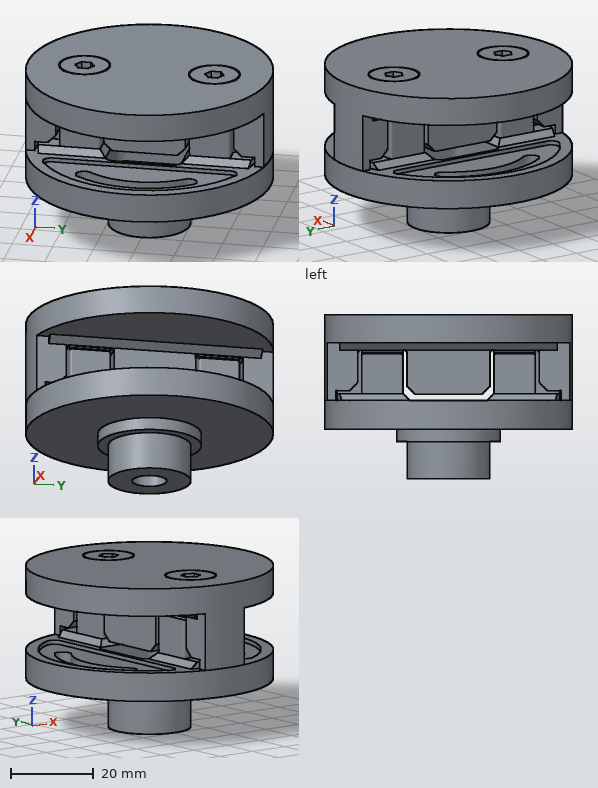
import cadquery as cq
import math

PLATE_RADIUS = 30.0
BASE_THICKNESS = 7.0
CAP_THICKNESS = 6.8
PLATE_GAP = 14.0
WEB_HALF_WIDTH = 6.05
SIDES = (-1, 1)

FLANGE_RADIUS = 12.55
FLANGE_THICKNESS = 3.0
STEM_RADIUS = 10.0
STEM_LENGTH = 9.0
BORE_RADIUS = 4.2

RECESS_RADIUS = 27.0
RECESS_CHORD_X = 10.0
RECESS_CORNER_RADIUS = 2.0
RECESS_DEPTH = 1.0
SLOT_MID_RADIUS = 21.0
SLOT_WIDTH = 4.0
SLOT_HALF_ANGLE = 38.0
SLOT_DEPTH = 3.85
WINDOW_WIDTH = 18.0
WINDOW_CORNER_RADIUS = 2.1

POST_Y = 16.0
POST_LENGTH = 10.1
POST_CORNER_RADIUS = 0.55
SHOULDER_Z = 11.2
SHOULDER_SIZE = 0.5
PLINTH_HEIGHT = 1.6
PLINTH_END_RADIUS = 27.0
WING_RADIUS = 1.6
WING_ROOT_FILLET = 0.35

CEILING_DEPTH = 1.8
CEILING_HALF_LENGTH = 26.35
RIB_INNER_Y = 21.95
NOTCH_OUTER_Y = 27.2
NOTCH_HEIGHT = 2.35
TONGUE_HALF_LENGTH = 10.1
TONGUE_CLEARANCE = 1.45
CORNER_CHAMFER = 2.0
GUSSET_SIZE = 0.55

HEAD_DIAMETER = 12.0
HEAD_CLEARANCE = 0.25
SHANK_DIAMETER = 6.0
SHANK_END_Z = 4.0
HEX_ACROSS_FLATS = 4.0
HEX_DEPTH = 4.0

STUD_BOTTOM_Z = -BASE_THICKNESS - FLANGE_THICKNESS - STEM_LENGTH
POST_INNER_Y = POST_Y - POST_LENGTH / 2
POST_OUTER_Y = POST_Y + POST_LENGTH / 2
PLINTH_INNER_Y = POST_INNER_Y - PLINTH_HEIGHT
CEILING_Z = PLATE_GAP - CEILING_DEPTH
CAP_TOP_Z = PLATE_GAP + CAP_THICKNESS


def cylinder(radius, bottom_z, height):
    """Upright cylinder on the Z axis."""
    return cq.Workplane("XY", origin=(0, 0, bottom_z)).circle(radius).extrude(height)


def side_profile(points, half_width):
    """Extrude a closed (Y, Z) outline symmetrically along X."""
    return cq.Workplane("YZ").polyline(points).close().extrude(half_width, both=True)


def end_profile(points, half_length):
    """Extrude a closed (X, Z) outline symmetrically along Y."""
    return cq.Workplane("XZ").polyline(points).close().extrude(half_length, both=True)


def on_side(shape, side):
    """Return the +Y shape itself, or its copy turned half a turn about Z."""
    return shape if side > 0 else shape.rotate((0, 0, 0), (0, 0, 1), 180)


def wing_bar(radius, end_y, bottom_z, top_z):
    """Upright bar along Y from the post centre to a round end at end_y."""
    bar_length = end_y - radius - POST_Y
    bar = (
        cq.Workplane("XY", origin=(0, POST_Y + bar_length / 2, bottom_z))
        .rect(2 * radius, bar_length)
        .extrude(top_z - bottom_z)
    )
    round_end = cylinder(radius, bottom_z, top_z - bottom_z).translate((0, end_y - radius, 0))
    return bar.union(round_end)


def make_stud():
    """Flanged stud with a through bore."""
    flange = cylinder(FLANGE_RADIUS, -BASE_THICKNESS - FLANGE_THICKNESS, FLANGE_THICKNESS)
    stem = cylinder(STEM_RADIUS, STUD_BOTTOM_Z, STEM_LENGTH)
    bore = cylinder(BORE_RADIUS, STUD_BOTTOM_Z, STEM_LENGTH + FLANGE_THICKNESS)
    return flange.union(stem).cut(bore)


def recess_cutter():
    """D-shaped recess on the -X side."""
    disc = cylinder(RECESS_RADIUS, -RECESS_DEPTH, RECESS_DEPTH)
    outside_chord = (
        cq.Workplane("XY")
        .box(PLATE_RADIUS, 2 * PLATE_RADIUS, 2 * RECESS_DEPTH)
        .translate((-RECESS_CHORD_X - PLATE_RADIUS / 2, 0, 0))
    )
    return disc.intersect(outside_chord).edges("|Z and >X").fillet(RECESS_CORNER_RADIUS)


def curved_slot_cutter():
    """Arc slot with round ends in the floor of the -X recess."""
    def polar(radius, degrees):
        """Point at an angle measured from the -X axis."""
        angle = math.radians(180 + degrees)
        return (radius * math.cos(angle), radius * math.sin(angle))

    inner_radius = SLOT_MID_RADIUS - SLOT_WIDTH / 2
    outer_radius = SLOT_MID_RADIUS + SLOT_WIDTH / 2
    band = (
        cq.Workplane("XY", origin=(0, 0, -RECESS_DEPTH - SLOT_DEPTH))
        .moveTo(*polar(inner_radius, -SLOT_HALF_ANGLE))
        .threePointArc(polar(inner_radius, 0), polar(inner_radius, SLOT_HALF_ANGLE))
        .lineTo(*polar(outer_radius, SLOT_HALF_ANGLE))
        .threePointArc(polar(outer_radius, 0), polar(outer_radius, -SLOT_HALF_ANGLE))
        .close()
        .extrude(SLOT_DEPTH)
    )
    round_ends = (
        cq.Workplane("XY", origin=(0, 0, -RECESS_DEPTH - SLOT_DEPTH))
        .pushPoints([polar(SLOT_MID_RADIUS, side * SLOT_HALF_ANGLE) for side in SIDES])
        .circle(SLOT_WIDTH / 2)
        .extrude(SLOT_DEPTH)
    )
    return band.union(round_ends)


def make_plinth():
    """Sloped foot of the +Y post, rounded to the recess radius at its outer end."""
    foot_half_width = WEB_HALF_WIDTH + PLINTH_HEIGHT
    ramp = end_profile(
        [
            (-foot_half_width, 0),
            (foot_half_width, 0),
            (WEB_HALF_WIDTH, PLINTH_HEIGHT),
            (-WEB_HALF_WIDTH, PLINTH_HEIGHT),
        ],
        PLATE_RADIUS,
    )
    length_limit = side_profile(
        [
            (PLINTH_INNER_Y, 0),
            (PLATE_RADIUS, 0),
            (PLATE_RADIUS, PLINTH_HEIGHT),
            (POST_INNER_Y, PLINTH_HEIGHT),
        ],
        foot_half_width,
    )
    return ramp.intersect(length_limit).intersect(cylinder(PLINTH_END_RADIUS, 0, PLINTH_HEIGHT))


def make_post():
    """+Y post up to the cap's ceiling, with its wing, plinth and blind screw hole.

    The post narrows along X to a neck above its sloped shoulders.
    """
    neck_half_width = WEB_HALF_WIDTH - SHOULDER_SIZE
    block = end_profile(
        [
            (-WEB_HALF_WIDTH, 0),
            (WEB_HALF_WIDTH, 0),
            (WEB_HALF_WIDTH, SHOULDER_Z),
            (neck_half_width, SHOULDER_Z + SHOULDER_SIZE),
            (neck_half_width, CEILING_Z),
            (-neck_half_width, CEILING_Z),
            (-neck_half_width, SHOULDER_Z + SHOULDER_SIZE),
            (-WEB_HALF_WIDTH, SHOULDER_Z),
        ],
        POST_LENGTH / 2,
    )
    corner_edges = block.edges("not #Z").edges("not |Y").edges("not |X")
    block = corner_edges.fillet(POST_CORNER_RADIUS).translate((0, POST_Y, 0))
    wing = wing_bar(WING_RADIUS, PLINTH_END_RADIUS, 0, CEILING_Z)
    root_corners = cq.selectors.BoxSelector(
        (-2 * WING_RADIUS, POST_OUTER_Y - WING_ROOT_FILLET, 0),
        (2 * WING_RADIUS, POST_OUTER_Y + WING_ROOT_FILLET, CEILING_Z),
    )
    post = block.union(wing).edges("|Z").edges(root_corners).fillet(WING_ROOT_FILLET)
    screw_hole = cylinder(SHANK_DIAMETER / 2, SHANK_END_Z, PLATE_GAP).translate((0, POST_Y, 0))
    return post.union(make_plinth()).cut(screw_hole)


def make_base():
    """Round base plate with its window, recesses and two posts."""
    base = cylinder(PLATE_RADIUS, -BASE_THICKNESS, BASE_THICKNESS)
    window = (
        cq.Workplane("XY", origin=(0, 0, -BASE_THICKNESS))
        .rect(WINDOW_WIDTH, 2 * PLINTH_INNER_Y)
        .extrude(BASE_THICKNESS)
        .edges("|Z")
        .fillet(WINDOW_CORNER_RADIUS)
    )
    base = base.cut(window)
    pocket = recess_cutter().union(curved_slot_cutter())
    post = make_post()
    for side in SIDES:
        base = base.cut(on_side(pocket, side)).union(on_side(post, side))
    return base


def ceiling_prism(depth, half_length):
    """Prism under the cap plate whose long sides slope inwards at 45 degrees."""
    root_half_width = WEB_HALF_WIDTH + CEILING_DEPTH
    tip_half_width = root_half_width - depth
    return end_profile(
        [
            (-root_half_width, PLATE_GAP),
            (root_half_width, PLATE_GAP),
            (tip_half_width, PLATE_GAP - depth),
            (-tip_half_width, PLATE_GAP - depth),
        ],
        half_length,
    )


def make_rib():
    """Outer rib, notched over the plinth and hollowed for the wing of the post."""
    outline = [
        (RIB_INNER_Y, PLATE_GAP),
        (PLATE_RADIUS, PLATE_GAP),
        (PLATE_RADIUS, 0),
        (NOTCH_OUTER_Y, 0),
        (NOTCH_OUTER_Y, NOTCH_HEIGHT),
        (RIB_INNER_Y + CORNER_CHAMFER, NOTCH_HEIGHT),
        (RIB_INNER_Y, NOTCH_HEIGHT + CORNER_CHAMFER),
    ]
    rib = side_profile(outline, WEB_HALF_WIDTH).intersect(cylinder(PLATE_RADIUS, 0, PLATE_GAP))
    rib = rib.union(make_gusset(RIB_INNER_Y, -1))
    wing_clearance = NOTCH_OUTER_Y - PLINTH_END_RADIUS
    return rib.cut(wing_bar(WING_RADIUS + wing_clearance, NOTCH_OUTER_Y, 0, CEILING_Z))


def make_tongue():
    """Central tongue with chamfered lower corners."""
    corner_y = TONGUE_HALF_LENGTH - CORNER_CHAMFER
    corner_z = TONGUE_CLEARANCE + CORNER_CHAMFER
    outline = [
        (-TONGUE_HALF_LENGTH, PLATE_GAP),
        (TONGUE_HALF_LENGTH, PLATE_GAP),
        (TONGUE_HALF_LENGTH, corner_z),
        (corner_y, TONGUE_CLEARANCE),
        (-corner_y, TONGUE_CLEARANCE),
        (-TONGUE_HALF_LENGTH, corner_z),
    ]
    return side_profile(outline, WEB_HALF_WIDTH)


def make_gusset(wall_y, direction):
    """Small 45-degree gusset between the ceiling and a wall, growing along direction."""
    outline = [
        (wall_y, CEILING_Z),
        (wall_y + direction * GUSSET_SIZE, CEILING_Z),
        (wall_y, CEILING_Z - GUSSET_SIZE),
    ]
    slope_limit = ceiling_prism(CEILING_DEPTH + GUSSET_SIZE, CEILING_HALF_LENGTH)
    return side_profile(outline, WEB_HALF_WIDTH).intersect(slope_limit)


def screw_hole_cutter():
    """Countersunk through hole of the cap at the +Y post."""
    top_radius = HEAD_DIAMETER / 2 + HEAD_CLEARANCE
    shank_radius = SHANK_DIAMETER / 2
    sink_depth = top_radius - shank_radius
    return (
        cq.Workplane("XZ")
        .polyline([
            (0, CAP_TOP_Z),
            (top_radius, CAP_TOP_Z),
            (shank_radius, CAP_TOP_Z - sink_depth),
            (shank_radius, 0),
            (0, 0),
        ])
        .close()
        .revolve(360, (0, 0, 0), (0, 1, 0))
        .translate((0, POST_Y, 0))
    )


def make_cap():
    """Round cap plate with ceiling prism, tongue and two hollowed ribs."""
    cap = cylinder(PLATE_RADIUS, PLATE_GAP, CAP_THICKNESS)
    cap = cap.union(ceiling_prism(CEILING_DEPTH, CEILING_HALF_LENGTH)).union(make_tongue())
    station = make_rib().union(make_gusset(TONGUE_HALF_LENGTH, 1))
    hole = screw_hole_cutter()
    for side in SIDES:
        cap = cap.union(on_side(station, side)).cut(on_side(hole, side))
    return cap


def make_screw(side):
    """Countersunk hex-socket screw, flush with the cap."""
    head_radius = HEAD_DIAMETER / 2
    shank_radius = SHANK_DIAMETER / 2
    head_depth = head_radius - shank_radius
    body = (
        cq.Workplane("XZ")
        .polyline([
            (0, CAP_TOP_Z),
            (head_radius, CAP_TOP_Z),
            (shank_radius, CAP_TOP_Z - head_depth),
            (shank_radius, SHANK_END_Z),
            (0, SHANK_END_Z),
        ])
        .close()
        .revolve(360, (0, 0, 0), (0, 1, 0))
    )
    socket = (
        cq.Workplane("XY", origin=(0, 0, CAP_TOP_Z - HEX_DEPTH))
        .polygon(6, HEX_ACROSS_FLATS / math.cos(math.pi / 6))
        .extrude(HEX_DEPTH)
        .rotate((0, 0, 0), (0, 0, 1), 90)
    )
    return body.cut(socket).translate((0, side * POST_Y, 0))


stud = make_stud()
base = make_base()
cap = make_cap()
screws = [make_screw(side) for side in SIDES]

result = cq.Compound.makeCompound([
    stud.solids().val(),
    base.solids().val(),
    cap.solids().val(),
    *[screw.solids().val() for screw in screws],
])